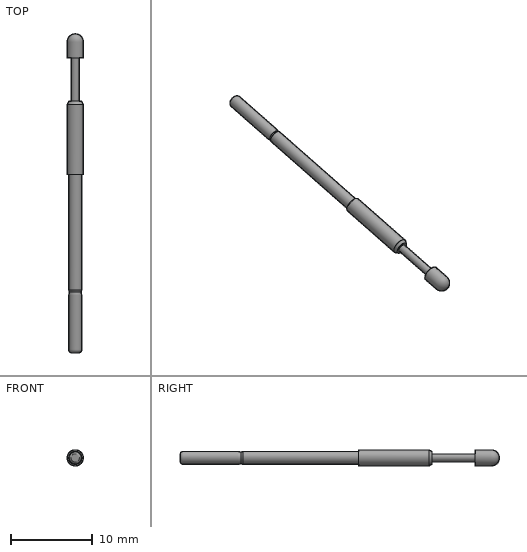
import cadquery as cq
import math

length = 39.3
head_radius = 1.002
head_length = 3.0
stem_radius = 0.5
barrel_radius = head_radius
barrel_start = 8.3
barrel_end = 17.35
tube_radius = 0.805
shoulder_length = 0.4
shoulder_front_radius = 0.8
tail_round = 0.4
groove_start = 31.55
groove_bottom = 31.8
groove_end = 32.15
groove_depth = 0.08

tip_y = length / 2
diagonal = math.sqrt(0.5)


def at(radius, distance):
    """Profile point at a radius and a distance behind the dome tip."""
    return radius, tip_y - distance


def round_middle(outer_radius, center_distance, size, direction):
    """Middle of a quarter-round edge; direction is -1 toward the tip, +1 toward the tail."""
    return at(
        outer_radius - size * (1 - diagonal),
        center_distance + direction * size * diagonal,
    )


tail_center = length - tail_round

profile = (
    cq.Workplane("XY")
    .moveTo(*at(0, 0))
    .threePointArc(
        round_middle(head_radius, head_radius, head_radius, -1),
        at(head_radius, head_radius),
    )
    .lineTo(*at(head_radius, head_length))
    .lineTo(*at(stem_radius, head_length))
    .lineTo(*at(stem_radius, barrel_start))
    .lineTo(*at(shoulder_front_radius, barrel_start))
    .lineTo(*at(barrel_radius, barrel_start + shoulder_length))
    .lineTo(*at(barrel_radius, barrel_end))
    .lineTo(*at(tube_radius, barrel_end))
    .lineTo(*at(tube_radius, groove_start))
    .lineTo(*at(tube_radius - groove_depth, groove_bottom))
    .lineTo(*at(tube_radius, groove_end))
    .lineTo(*at(tube_radius, tail_center))
    .threePointArc(
        round_middle(tube_radius, tail_center, tail_round, 1),
        at(tube_radius - tail_round, length),
    )
    .lineTo(*at(0, length))
    .close()
)

result = profile.revolve(360, (0, 0, 0), (0, 1, 0))